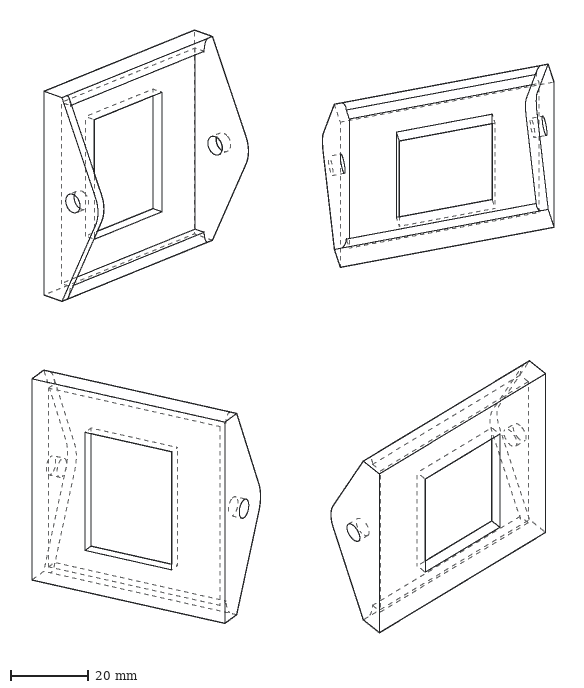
import cadquery as cq
import math

plate_size = 57.15
plate_thickness = 6.4
half_size = plate_size / 2

window_width = 25.6
window_height = 33.5

web_thickness = 3.2

overall_depth = 19.2
ear_thickness = 3.2
hole_x = 10.3
hole_diameter = 5.1
tip_radius = overall_depth - hole_x
inner_edge_radius = 1.5

pocket_size = plate_size - 2 * ear_thickness


def make_plate():
    plate = cq.Workplane("XY").box(
        plate_thickness, plate_size, plate_size, centered=(False, True, True)
    )
    window = cq.Workplane("XY").box(
        plate_thickness, window_width, window_height, centered=(False, True, True)
    )
    pocket = (
        cq.Workplane("YZ", origin=(web_thickness, 0, 0))
        .rect(pocket_size, pocket_size)
        .extrude(plate_thickness - web_thickness)
    )
    return plate.cut(window).cut(pocket)


def make_ear():
    """Ear on the -Y side, with its sloping edges tangent to the tip arc."""
    root_offset = plate_thickness - hole_x
    root_distance = math.hypot(root_offset, half_size)
    root_angle = math.atan2(half_size, root_offset)
    tangent_angle = root_angle - math.acos(tip_radius / root_distance)
    tangent_x = hole_x + tip_radius * math.cos(tangent_angle)
    tangent_z = tip_radius * math.sin(tangent_angle)

    ear = (
        cq.Workplane("XZ", origin=(0, -half_size, 0))
        .moveTo(plate_thickness, -half_size)
        .lineTo(tangent_x, -tangent_z)
        .threePointArc((overall_depth, 0), (tangent_x, tangent_z))
        .lineTo(plate_thickness, half_size)
        .close()
        .extrude(-ear_thickness)
    )
    ear = ear.faces(">Y").edges("not <X").fillet(inner_edge_radius)

    root = cq.Workplane("XY").box(
        plate_thickness, ear_thickness, plate_size, centered=(False, False, True)
    ).translate((0, -half_size, 0))
    hole = (
        cq.Workplane("XZ", origin=(0, -half_size, 0))
        .center(hole_x, 0)
        .circle(hole_diameter / 2)
        .extrude(-ear_thickness)
    )
    return ear.union(root).cut(hole)


ear = make_ear()
result = make_plate().union(ear).union(ear.mirror("XZ"))